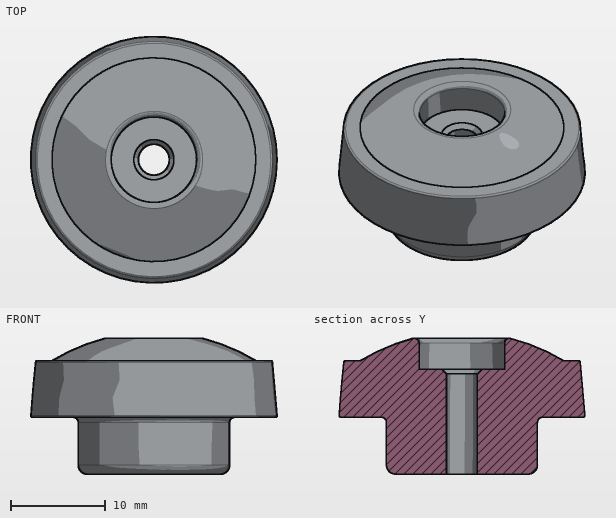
import math
import cadquery as cq

boss_diameter = 16.0
boss_height = 6.0
boss_end_fillet = 1.0
boss_root_fillet = 0.5

flange_diameter = 26.0
flange_height = 6.0
flange_draft_angle = 5.0
flange_edge_fillet = 0.2

dome_base_diameter = 21.5
dome_rise = 3.0

recess_diameter = 9.0
recess_floor_z = 11.1
recess_rim_fillet = 0.5

hole_diameter = 3.24
hole_chamfer = 0.5

flange_top_z = boss_height + flange_height
apex_z = flange_top_z + dome_rise
boss_radius = boss_diameter / 2

dome_base_radius = dome_base_diameter / 2
dome_sphere_radius = (dome_base_radius**2 + dome_rise**2) / (2 * dome_rise)
sphere_centre_z = apex_z - dome_sphere_radius

draft = math.radians(flange_draft_angle)
lower_edge_angle = math.pi / 2 - draft
corner_trim = flange_edge_fillet * (1 / math.tan(lower_edge_angle / 2) - 1)
flange_bottom_radius = flange_diameter / 2 + corner_trim
flange_top_radius = flange_bottom_radius - flange_height * math.tan(draft)

selection_margin = 0.01


def circle_edge(radius, z):
    """Select the edge at height z that lies within the given radius of the Z axis."""
    reach = radius + selection_margin
    return cq.selectors.BoxSelector(
        (-reach, -reach, z - selection_margin),
        (reach, reach, z + selection_margin),
        boundingbox=True,
    )


def dome_height_at(radius):
    """Height of the dome's spherical surface at a distance from the Z axis."""
    return sphere_centre_z + math.sqrt(dome_sphere_radius**2 - radius**2)


def make_flange():
    """Drafted disc, widest at its underside, with both edges rounded."""
    flange = (
        cq.Workplane("XZ")
        .moveTo(0, boss_height)
        .lineTo(flange_bottom_radius, boss_height)
        .lineTo(flange_top_radius, flange_top_z)
        .lineTo(0, flange_top_z)
        .close()
        .revolve(360, (0, 0), (0, 1))
    )
    return flange.faces("<Z or >Z").edges().fillet(flange_edge_fillet)


def add_boss(body):
    """Cylindrical boss under the flange, with a rounded end and a filleted root."""
    boss = cq.Workplane("XY").circle(boss_radius).extrude(boss_height)
    boss = boss.faces("<Z").edges().fillet(boss_end_fillet)
    return body.union(boss).edges(circle_edge(boss_radius, boss_height)).fillet(boss_root_fillet)


def make_dome():
    """Spherical cap standing on the flange top."""
    mid_radius = dome_base_radius / 2
    return (
        cq.Workplane("XZ")
        .moveTo(0, flange_top_z)
        .lineTo(dome_base_radius, flange_top_z)
        .threePointArc((mid_radius, dome_height_at(mid_radius)), (0, apex_z))
        .close()
        .revolve(360, (0, 0), (0, 1))
    )


def cut_recess(body):
    """Flat-floored recess sunk into the dome, with a rounded rim."""
    recess_radius = recess_diameter / 2
    cutter = (
        cq.Workplane("XY", origin=(0, 0, recess_floor_z))
        .circle(recess_radius)
        .extrude(apex_z - recess_floor_z)
    )
    rim_z = dome_height_at(recess_radius)
    return body.cut(cutter).edges(circle_edge(recess_radius, rim_z)).fillet(recess_rim_fillet)


def cut_hole(body):
    """Through hole along the axis, chamfered where it meets the recess floor."""
    hole_radius = hole_diameter / 2
    cutter = cq.Workplane("XY").circle(hole_radius).extrude(apex_z)
    return body.cut(cutter).edges(circle_edge(hole_radius, recess_floor_z)).chamfer(hole_chamfer)


body = add_boss(make_flange())
body = body.union(make_dome())
body = cut_recess(body)
result = cut_hole(body)